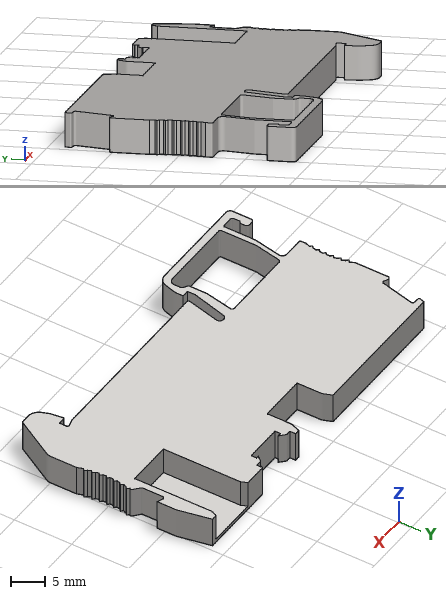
import cadquery as cq
import math

LENGTH = 60.44
HEIGHT = 35.2
THICKNESS = 5.2

SIDE_BASE = 12.55
BELLY = 5.9
CATCH = 4.75
FOOT_FLOOR = 1.35

NOTCH_LEFT = 27.15
NOTCH_RIGHT = 35.25
NOTCH_FLOOR = 29.3
NOTCH_EASE_START = 33.6
NOTCH_EASE = 0.6
NOTCH_EASE_RADIUS = 1.0

GROOVE_LEFT = 37.9
GROOVE_RIGHT = 44.35
GROOVE_FLOOR = 32.35
GROOVE_LIP = 33.3
GROOVE_LEDGE = 34.2
LEDGE_LEFT = 36.75
LEDGE_RIGHT = 45.7

RIGHT_RECESS_X = 59.03
RIGHT_RECESS_TOP = 26.6

HOOK_LEFT = 0.13
HOOK_TOP = 4.4
HOOK_INNER = 1.42
HOOK_BEAD = 1.8
STRUT_LEFT = 3.7
STRUT_RIGHT = 4.66
WINDOW_NECK = 17.55
WINDOW_RIGHT = 18.52
SPRING_INNER = 18.72
SPRING_OUTER = 19.9
SLOT_END_RADIUS = 0.65

FIXED_CATCH_ROOT = 53.5

GRIP_CENTRE_Y = 17.2
TOOTH_PITCH = 1.235
TOOTH_DEPTH = 0.34
TOOTH_HALF_WIDTH = 0.35
TEETH_EACH_WAY = 3
GRIP_RADIUS = 15.6
GRIP_HALF_HEIGHT = TEETH_EACH_WAY * TOOTH_PITCH
GRIP_SAG = GRIP_RADIUS - math.sqrt(GRIP_RADIUS**2 - GRIP_HALF_HEIGHT**2)

POCKET_LEFT = 50.1
POCKET_RIGHT = 57.9
POCKET_FLOOR_Y = 20.7
POCKET_DEPTH = 4.6
POCKET_FLARE = 0.45
POCKET_FLARE_HEIGHT = 1.0


def rounded_outline(corners):
    """Closed wire through (x, y) or (x, y, radius) corners; a radius rounds that corner."""
    path = None
    count = len(corners)
    for i, corner in enumerate(corners):
        here = cq.Vector(corner[0], corner[1])
        radius = corner[2] if len(corner) > 2 else 0
        to_last = (cq.Vector(*corners[i - 1][:2]) - here).normalized()
        to_next = (cq.Vector(*corners[(i + 1) % count][:2]) - here).normalized()
        half_angle = to_last.getAngle(to_next) / 2
        setback = radius / math.tan(half_angle)
        entry = here + to_last * setback
        path = path.lineTo(entry.x, entry.y) if path else cq.Workplane("XY").moveTo(entry.x, entry.y)
        if radius:
            bisector = (to_last + to_next).normalized()
            middle = here + bisector * (radius / math.sin(half_angle) - radius)
            leave = here + to_next * setback
            path = path.threePointArc((middle.x, middle.y), (leave.x, leave.y))
    return path.close()


def grip_inset(y):
    """Distance of the tooth tips from the end face at height y."""
    offset = y - GRIP_CENTRE_Y
    return GRIP_SAG - GRIP_RADIUS + math.sqrt(GRIP_RADIUS**2 - offset**2)


def grip_teeth(first, last):
    """(inset, y) corners of the teeth from index first down to last, counted up from the centre."""
    corners = []
    for index in range(first, last - 1, -1):
        tip_y = GRIP_CENTRE_Y + index * TOOTH_PITCH
        tip = grip_inset(tip_y)
        corners.append((tip + TOOTH_DEPTH, tip_y + TOOTH_HALF_WIDTH))
        corners.append((tip, tip_y))
        corners.append((tip + TOOTH_DEPTH, tip_y - TOOTH_HALF_WIDTH))
    return corners


def top_edge():
    """Top edge from left to right: notch, then the undercut groove with its two catches."""
    return [
        (1.85, HEIGHT),
        (NOTCH_LEFT - NOTCH_EASE, HEIGHT),
        (NOTCH_LEFT, NOTCH_EASE_START, NOTCH_EASE_RADIUS),
        (NOTCH_LEFT, NOTCH_FLOOR),
        (NOTCH_RIGHT, NOTCH_FLOOR),
        (NOTCH_RIGHT, NOTCH_EASE_START, NOTCH_EASE_RADIUS),
        (NOTCH_RIGHT + NOTCH_EASE, HEIGHT),
        (LEDGE_LEFT, HEIGHT),
        (LEDGE_LEFT, GROOVE_LEDGE),
        (37.6, GROOVE_LEDGE, 0.4),
        (38.55, GROOVE_LIP),
        (GROOVE_LEFT, GROOVE_LIP),
        (GROOVE_LEFT, GROOVE_FLOOR),
        (GROOVE_RIGHT, GROOVE_FLOOR),
        (GROOVE_RIGHT, GROOVE_LIP),
        (43.9, GROOVE_LIP),
        (44.65, GROOVE_LEDGE),
        (LEDGE_RIGHT, GROOVE_LEDGE),
        (LEDGE_RIGHT, 34.8),
        (45.5, 34.8),
        (LEDGE_RIGHT, HEIGHT),
    ]


def right_end():
    """Right end from top to bottom: recess, grip and sloping flank."""
    recess = [
        (59.33, HEIGHT),
        (LENGTH, 29.6),
        (LENGTH, 26.25),
        (59.6, RIGHT_RECESS_TOP, 0.3),
        (RIGHT_RECESS_X, RIGHT_RECESS_TOP, 0.3),
        (RIGHT_RECESS_X, 22.7, 0.3),
        (60.35, 21.55, 0.3),
    ]
    teeth = [(LENGTH - inset, y) for inset, y in grip_teeth(TEETH_EACH_WAY, -TEETH_EACH_WAY)]
    flank = [
        (LENGTH, 12.2),
        (LENGTH, 7.2, 2.0),
        (56.25, 0, 0.3),
    ]
    return recess + teeth + flank


def fixed_foot():
    """Rigid hook that grips the rail, then the belly of the housing."""
    return [
        (53.38, 0, 1.9),
        (52.47, 2.4, 3.0),
        (52.15, CATCH, 0.2),
        (FIXED_CATCH_ROOT, CATCH),
        (FIXED_CATCH_ROOT, 6.3, 0.3),
        (52.0, BELLY),
        (20.3, BELLY, 0.3),
    ]


def spring_foot():
    """Relief slot, springy outer foot and its release hook, from right to left."""
    return [
        (21.97, SIDE_BASE, SLOT_END_RADIUS),
        (20.47, SIDE_BASE, SLOT_END_RADIUS),
        (SPRING_INNER, 6.1),
        (SPRING_INNER, CATCH),
        (SPRING_OUTER, CATCH),
        (SPRING_OUTER, 3.3, 3.0),
        (18.9, 0, 1.8),
        (HOOK_LEFT, 0, 0.7),
        (HOOK_LEFT, HOOK_TOP, 0.5),
        (HOOK_BEAD, HOOK_TOP, 0.5),
        (HOOK_BEAD, 3.0, 0.3),
        (HOOK_INNER, 2.8, 0.2),
        (HOOK_INNER, FOOT_FLOOR, 0.4),
        (STRUT_LEFT, FOOT_FLOOR, 0.3),
        (STRUT_LEFT, 7.0),
        (4.8, SIDE_BASE, 0.8),
    ]


def left_end():
    """Left end from bottom to top: grip and recess."""
    lowest_tooth = 1 - TEETH_EACH_WAY
    teeth = [(inset, y) for inset, y in reversed(grip_teeth(TEETH_EACH_WAY, lowest_tooth))]
    recess = [
        (0, 22.0),
        (0, 28.35, 0.4),
        (1.52, 27.62, 0.3),
        (3.06, 34.05, 0.3),
        (1.53, 34.15, 0.15),
    ]
    return [(0.33, SIDE_BASE, 0.2), (0.28, 13.6)] + teeth + recess


def foot_window():
    """Opening enclosed by the spring foot."""
    return [
        (STRUT_RIGHT, FOOT_FLOOR, 0.3),
        (STRUT_RIGHT, 7.7),
        (5.62, SIDE_BASE, 0.5),
        (18.6, SIDE_BASE, 0.4),
        (WINDOW_NECK, 7.4),
        (WINDOW_NECK, 4.2, 0.3),
        (WINDOW_RIGHT, 3.65, 0.4),
        (WINDOW_RIGHT, FOOT_FLOOR, 1.0),
    ]


def pocket_outline():
    """Pocket outline, flared where it meets the top edge."""
    flare_y = HEIGHT - POCKET_FLARE_HEIGHT
    return [
        (POCKET_LEFT, POCKET_FLOOR_Y),
        (POCKET_RIGHT, POCKET_FLOOR_Y),
        (POCKET_RIGHT, flare_y),
        (POCKET_RIGHT + POCKET_FLARE, HEIGHT),
        (POCKET_LEFT - POCKET_FLARE, HEIGHT),
        (POCKET_LEFT, flare_y),
    ]


outline = top_edge() + right_end() + fixed_foot() + spring_foot() + left_end()
housing = rounded_outline(outline).extrude(THICKNESS)
window = rounded_outline(foot_window()).extrude(THICKNESS)
pocket = rounded_outline(pocket_outline()).extrude(POCKET_DEPTH)
pocket = pocket.translate((0, 0, THICKNESS - POCKET_DEPTH))

result = housing.cut(window).cut(pocket)